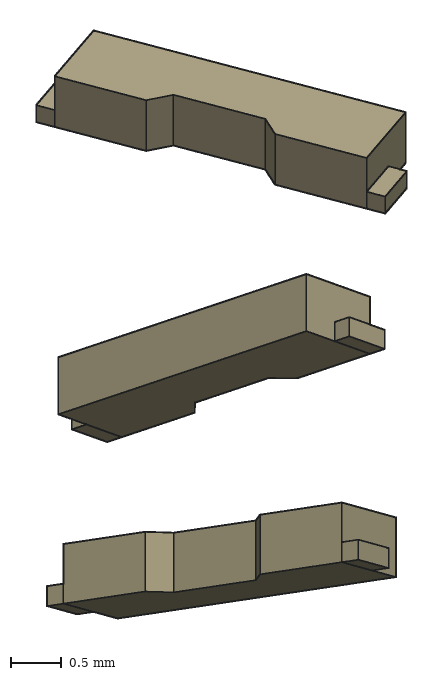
import cadquery as cq

total_length = 3.8
depth = 0.9
height = 0.6

terminal_length = 0.2
terminal_depth = 0.5
terminal_height = 0.2

notch_depth = 0.2
notch_floor_length = 1.0

housing_length = total_length - 2 * terminal_length


def make_housing():
    """Block with a trapezoidal notch through the middle of its front face."""
    half_length = housing_length / 2
    half_floor = notch_floor_length / 2
    half_mouth = half_floor + notch_depth
    outline = [
        (-half_length, 0),
        (-half_mouth, 0),
        (-half_floor, notch_depth),
        (half_floor, notch_depth),
        (half_mouth, 0),
        (half_length, 0),
        (half_length, depth),
        (-half_length, depth),
    ]
    return cq.Workplane("XY").polyline(outline).close().extrude(height)


def make_terminal(side):
    """Small block against one housing end, flush with its front and bottom; side is -1 or 1."""
    center_x = side * (housing_length + terminal_length) / 2
    return (
        cq.Workplane("XY")
        .box(terminal_length, terminal_depth, terminal_height, centered=(True, False, False))
        .translate((center_x, 0, 0))
    )


housing = make_housing()
terminals = [make_terminal(side) for side in (-1, 1)]

result = cq.Compound.makeCompound([housing.val(), *[terminal.val() for terminal in terminals]])